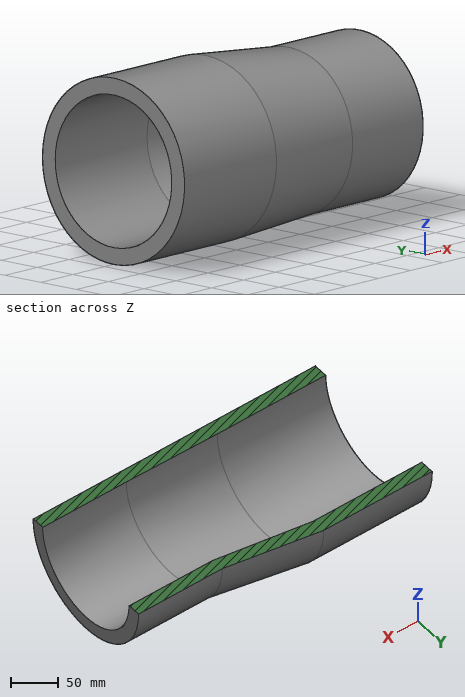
import cadquery as cq

total_length = 373.0
large_length = 143.5
small_length = 110.5
large_outer_diameter = 200.0
large_bore_diameter = 163.7
small_outer_diameter = 180.0
small_bore_diameter = 147.5

taper_length = total_length - large_length - small_length
taper_end = large_length + taper_length
small_axis_y = -(large_outer_diameter - small_outer_diameter) / 2


def stepped_solid(large_diameter, small_diameter):
    """Large cylinder, eccentric taper and small cylinder joined end to end."""
    large_end = cq.Workplane("YZ").circle(large_diameter / 2).extrude(large_length)
    taper = (
        cq.Workplane("YZ", origin=(large_length, 0, 0))
        .circle(large_diameter / 2)
        .workplane(offset=taper_length)
        .center(small_axis_y, 0)
        .circle(small_diameter / 2)
        .loft(ruled=True, combine=True)
    )
    small_end = (
        cq.Workplane("YZ", origin=(taper_end, small_axis_y, 0))
        .circle(small_diameter / 2)
        .extrude(small_length)
    )
    return large_end.union(taper).union(small_end)


outer_body = stepped_solid(large_outer_diameter, small_outer_diameter)
bore = stepped_solid(large_bore_diameter, small_bore_diameter)
result = outer_body.cut(bore)